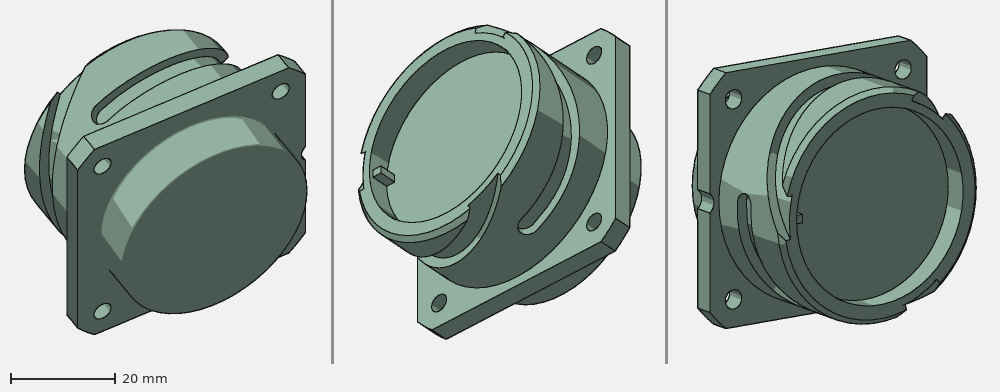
import cadquery as cq
import math


body_radius = 23.3
body_length = 20.6
rim_chamfer = 1.0

flange_size = 50.8
flange_thickness = 4.1
flange_corner_radius = 33.4
hole_diameter = 3.8
hole_offset = 19.85
notch_radius = 2.45
notch_depth = 0.9

total_length = 33.8
rear_radius = 20.6
rear_root_fillet = 0.65
rear_end_fillet = 0.5

pocket_radius = 19.5
pocket_depth = 5.0
key_width = 1.7
key_inner_radius = 17.4
key_length = 3.95
key_overlap = 0.25

groove_count = 3
groove_width = 4.6
groove_floor_radius = 21.2
groove_end_x = 12.15
groove_end_angle = -62.6
ramp_start_angle = -51.0
ramp_radius = 87.4
first_facet_angle = -43.7
facet_step = 5.0
facet_count = 24
cutter_clearance = 2.05
cutter_radius = body_radius + cutter_clearance


def x_cylinder(radius, start, length):
    """Round bar along X, starting at x = start."""
    return cq.Workplane("YZ", origin=(start, 0, 0)).circle(radius).extrude(length)


def radial_vector(angle):
    """Unit vector pointing away from the axis at the given angle."""
    turn = math.radians(angle)
    return cq.Vector(0, -math.cos(turn), math.sin(turn))


def make_flange():
    plate = cq.Workplane("YZ", origin=(body_length, 0, 0)).rect(flange_size, flange_size)
    plate = plate.extrude(flange_thickness)
    plate = plate.intersect(x_cylinder(flange_corner_radius, body_length, flange_thickness))
    hole = x_cylinder(hole_diameter / 2, body_length, flange_thickness)
    for y in (-hole_offset, hole_offset):
        for z in (-hole_offset, hole_offset):
            plate = plate.cut(hole.translate((0, y, z)))
    notch_center = flange_size / 2 - notch_depth + notch_radius
    notch = x_cylinder(notch_radius, body_length, flange_thickness)
    return plate.cut(notch.translate((0, notch_center, 0)))


def make_rear_barrel():
    start = body_length + flange_thickness
    rear = x_cylinder(rear_radius, start, total_length - start)
    return rear.faces(">X").edges().fillet(rear_end_fillet)


def make_key():
    """Rib on the +Y side of the pocket, standing on the pocket floor."""
    height = pocket_radius + key_overlap - key_inner_radius
    key = cq.Workplane("XY").box(key_length, height, key_width, centered=(False, False, True))
    return key.translate((pocket_depth - key_length, key_inner_radius, 0))


def groove_section(angle):
    """Rectangle across the groove, square to its path on the unrolled barrel."""
    travel = body_radius * math.radians(max(angle - ramp_start_angle, 0))
    slope = math.asin(travel / ramp_radius)
    center_x = groove_end_x - ramp_radius * (1 - math.cos(slope))
    outward = radial_vector(angle)
    tangent = radial_vector(angle + 90)
    across = cq.Vector(math.cos(slope), 0, 0) + tangent * math.sin(slope)
    half_width = across * (groove_width / 2)
    floor = cq.Vector(center_x, 0, 0) + outward * groove_floor_radius
    top = cq.Vector(center_x, 0, 0) + outward * cutter_radius
    corners = [floor - half_width, floor + half_width, top + half_width, top - half_width]
    return cq.Wire.makePolygon(corners, close=True)


def make_groove_cutter():
    """Faceted ramp that runs out through the rim, with a round blind end."""
    angles = [groove_end_angle, ramp_start_angle]
    for index in range(facet_count):
        angles.append(first_facet_angle + index * facet_step)
    ramp = cq.Solid.makeLoft([groove_section(angle) for angle in angles], True)
    outward = radial_vector(groove_end_angle)
    end_floor = cq.Vector(groove_end_x, 0, 0) + outward * groove_floor_radius
    depth = cutter_radius - groove_floor_radius
    blind_end = cq.Solid.makeCylinder(groove_width / 2, depth, end_floor, outward)
    return cq.Workplane(ramp).union(cq.Workplane(blind_end))


body = x_cylinder(body_radius, 0, body_length).faces("<X").edges().chamfer(rim_chamfer)
shell = body.union(make_flange()).union(make_rear_barrel())

root_x = body_length + flange_thickness
root_point = (root_x, 0, 0)
shell = shell.edges(cq.selectors.NearestToPointSelector(root_point)).fillet(rear_root_fillet)

shell = shell.cut(x_cylinder(pocket_radius, 0, pocket_depth)).union(make_key())

groove_cutter = make_groove_cutter()
for index in range(groove_count):
    turn = index * 360 / groove_count
    shell = shell.cut(groove_cutter.rotate((0, 0, 0), (1, 0, 0), turn))

result = shell